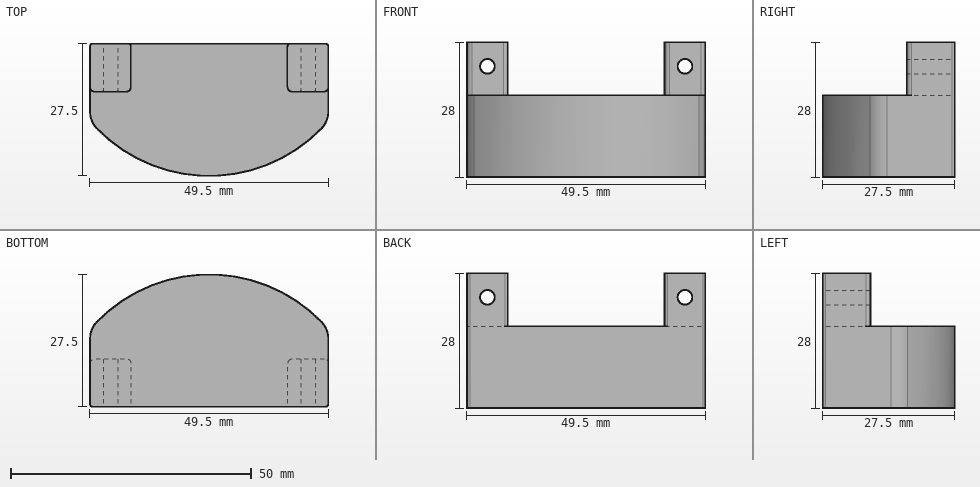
import cadquery as cq

WIDTH = 49.5
DEPTH = 27.5
HEIGHT = 28.0
BASE_HEIGHT = 17.0
FRONT_ARC_RADIUS = 32.5
SIDE_FILLET_RADIUS = 5.0
BACK_FILLET_RADIUS = 0.6

POST_WIDTH = 8.5
POST_DEPTH = 10.0
POST_FRONT_FILLET_RADIUS = 1.0
HOLE_DIAMETER = 3.0
HOLE_BELOW_TOP = 5.0

half_width = WIDTH / 2
post_x = half_width - POST_WIDTH / 2
arc_centre_y = FRONT_ARC_RADIUS - DEPTH
arc_end_y = arc_centre_y - (FRONT_ARC_RADIUS**2 - half_width**2) ** 0.5


def make_base():
    """D-shaped block: flat back and sides, bowed front, rounded vertical edges."""
    block = (
        cq.Workplane("XY")
        .moveTo(-half_width, 0)
        .lineTo(-half_width, arc_end_y)
        .threePointArc((0, -DEPTH), (half_width, arc_end_y))
        .lineTo(half_width, 0)
        .close()
        .extrude(BASE_HEIGHT)
    )
    block = block.edges("|Z and >Y").fillet(BACK_FILLET_RADIUS)
    front_corners = cq.selectors.BoxSelector(
        (-WIDTH, arc_end_y - SIDE_FILLET_RADIUS, -HEIGHT),
        (WIDTH, arc_end_y + SIDE_FILLET_RADIUS, HEIGHT),
    )
    return block.edges("|Z").edges(front_corners).fillet(SIDE_FILLET_RADIUS)


def make_post(centre_x):
    """Upright post on a back corner of the base, bored through along Y."""
    post = (
        cq.Workplane("XY", origin=(centre_x, -POST_DEPTH / 2, BASE_HEIGHT))
        .rect(POST_WIDTH, POST_DEPTH)
        .extrude(HEIGHT - BASE_HEIGHT)
        .edges("|Z and >Y")
        .fillet(BACK_FILLET_RADIUS)
        .edges("|Z and <Y")
        .fillet(POST_FRONT_FILLET_RADIUS)
    )
    hole = (
        cq.Workplane("XZ", origin=(centre_x, 0, HEIGHT - HOLE_BELOW_TOP))
        .circle(HOLE_DIAMETER / 2)
        .extrude(POST_DEPTH)
    )
    return post.cut(hole)


result = make_base()
for side in (-1, 1):
    result = result.union(make_post(side * post_x))